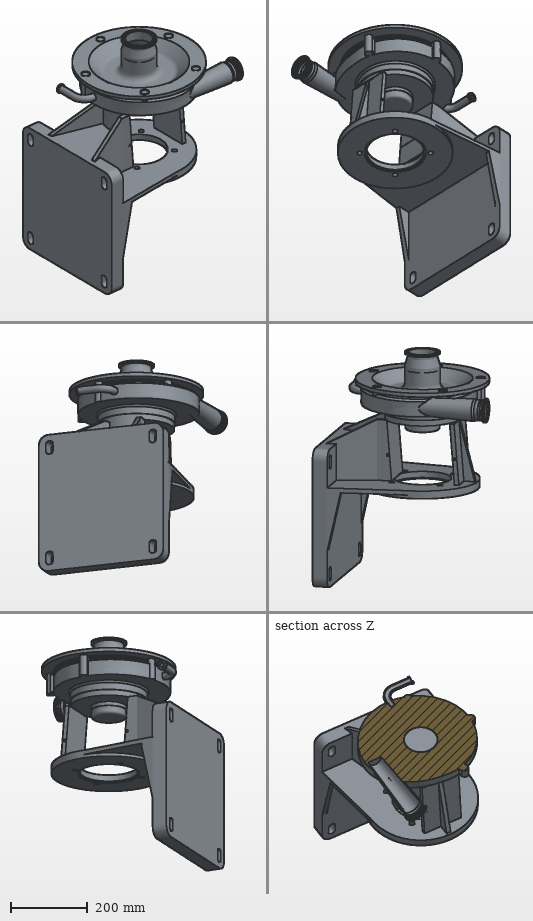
import cadquery as cq
import math


plate_width = 350.0
plate_height = 370.0
plate_thickness = 40.0
plate_corner_radius = 27.0
plate_front_y = -250.0
plate_back_y = plate_front_y + plate_thickness
slot_spacing_x = 290.0
slot_spacing_z = 300.0
slot_length = 36.0
slot_width = 20.0

table_top_z = 272.0
table_thickness = 12.0
disc_thickness = 21.0
disc_radius = 150.0
table_bore_radius = 75.0
register_radius = 80.0
register_depth = 4.0
table_hole_circle_radius = 92.5
table_hole_diameter = 14.0
table_hole_count = 4
table_hole_start_angle = 45.0
brace_reach = 35.0
brace_foot_z = 103.0
brace_inner_x = 160.0

leg_top_z = 434.5
leg_half_width = 55.5
leg_lean = 13.0
front_leg_inner_top_y = -81.5
front_leg_outer_y = -108.5
gusset_tip_y = -235.0
gusset_tip_half_width = 91.0
gusset_thickness = 12.0
rear_leg_inner_top_y = 88.5
rear_leg_thickness = 12.0
rear_rib_foot_y = 143.0
rear_rib_thickness = 12.0
cross_hole_diameter = 6.0
cross_hole_z = 341.0
front_cross_hole_y = -79.0
rear_cross_hole_y = 102.0

hub_radius = 99.0
hub_collar_radius = 101.0
hub_collar_bottom_z = 450.0
hub_collar_top_z = 468.5
hub_flare_radius = 105.0
stub_radius = 46.5
stub_tip_radius = 45.5
stub_step_z = 423.7
stub_bottom_z = 403.0
stub_fillet = 6.5

casing_bottom_z = 474.5
casing_shoulder_z = 515.0
casing_top_z = 521.0
casing_top_chamfer = casing_top_z - casing_shoulder_z
casing_bottom_chamfer_height = 4.0
casing_bottom_chamfer_width = 1.0
volute_start_radius = 141.5
volute_growth = 26.5
volute_start_angle = math.radians(90)
volute_sweep = math.radians(270)
volute_steps = 12
rim_radius = 141.0
rim_top_z = 525.7
spigot_radius = 144.5

flange_radius = 175.0
flange_top_z = 540.0
flange_thickness = 10.0
flange_bottom_z = flange_top_z - flange_thickness
dish_rim_radius = 131.5
dish_rim_chamfer = 2.0
dish_floor_z = 509.0
dish_floor_corner_radius = 97.4
dish_outer_fillet = 16.4
dish_inner_fillet = 19.5
post_count = 5
post_start_angle = 180.0
post_circle_radius = 152.0
post_radius = 11.0
post_lug_circle_radius = 146.0
post_lug_radius = 13.0
post_hole_diameter = 23.0
post_hole_depth = 2.5

inlet_radius = 46.5
inlet_neck_radius = 39.7
inlet_top_z = 610.5
inlet_lip_thickness = 3.5
inlet_lip_taper = 2.5
inlet_cone_top_z = 597.0
inlet_cone_bottom_z = 575.0
inlet_bore_radius = 36.0
inlet_flare_top_z = 583.5
inlet_flare_bottom_z = 564.0
inlet_chamber_radius = 43.5
inlet_bore_bottom_z = 497.0
inlet_seal_groove_radius = 41.5

seal_groove_width = 3.0
seal_groove_depth = 1.5

port_z = 497.0
outlet_x = 139.4
outlet_end_y = 211.0
outlet_lip_radius = 32.0
outlet_lip_thickness = 4.0
outlet_lip_taper = 2.0
outlet_neck_radius = 27.5
outlet_neck_end_y = 184.5
outlet_cone_start_y = 178.0
outlet_cone_radius = 29.9
outlet_root_radius = 21.5
outlet_wall = 2.5
outlet_seal_groove_radius = 28.0
outlet_band_radius = 26.9
outlet_band_end_y = 199.7
outlet_band_start_y = 194.0

drain_radius = 10.0
drain_bore_radius = 6.0
drain_y = -196.0
drain_end_x = -88.5
drain_lip_radius = 12.5
drain_lip_thickness = 4.5
drain_bend_start_x = -34.0
drain_bend_radius = 35.0
drain_root_y = -140.0


def cylinder(radius, bottom_z, top_z):
    return cq.Workplane("XY").workplane(offset=bottom_z).circle(radius).extrude(top_z - bottom_z)


def side_prism(points, x_min, x_max):
    """Prism along X from (y, z) points."""
    return cq.Workplane("YZ").workplane(offset=x_min).polyline(points).close().extrude(x_max - x_min)


def plan_prism(points, bottom_z, top_z):
    """Prism along Z from (x, y) points."""
    return cq.Workplane("XY").workplane(offset=bottom_z).polyline(points).close().extrude(top_z - bottom_z)


def revolved_about_z(points):
    """Body of revolution about Z from (radius, z) points."""
    return cq.Workplane("XZ").polyline(points).close().revolve(360, (0, 0, 0), (0, 1, 0))


def make_wall_plate():
    plate_middle_z = plate_height / 2
    plate = (
        cq.Workplane("XZ", origin=(0, plate_back_y, plate_middle_z))
        .rect(plate_width, plate_height)
        .extrude(plate_thickness)
        .edges("|Y")
        .fillet(plate_corner_radius)
    )
    slots = (
        cq.Workplane("XZ", origin=(0, plate_back_y, plate_middle_z))
        .rect(slot_spacing_x, slot_spacing_z, forConstruction=True)
        .vertices()
        .slot2D(slot_length, slot_width, 90)
        .extrude(plate_thickness)
    )
    return plate.cut(slots)


def table_outline_prism(bottom_z):
    """Half-round table outline widening to the wall plate, from bottom_z up to the table top."""
    half_plate = plate_width / 2
    return (
        cq.Workplane("XY")
        .workplane(offset=bottom_z)
        .moveTo(-half_plate, plate_back_y)
        .lineTo(-disc_radius, 0)
        .threePointArc((0, disc_radius), (disc_radius, 0))
        .lineTo(half_plate, plate_back_y)
        .close()
        .extrude(table_top_z - bottom_z)
    )


def make_table():
    disc_bottom_z = table_top_z - disc_thickness
    table = table_outline_prism(table_top_z - table_thickness)
    table = table.union(cylinder(disc_radius, disc_bottom_z, table_top_z))
    table = table.cut(cylinder(table_bore_radius, disc_bottom_z, table_top_z))
    table = table.cut(cylinder(register_radius, disc_bottom_z, disc_bottom_z + register_depth))
    holes = (
        cq.Workplane("XY")
        .workplane(offset=disc_bottom_z)
        .polarArray(table_hole_circle_radius, table_hole_start_angle, 360, table_hole_count)
        .circle(table_hole_diameter / 2)
        .extrude(disc_thickness)
    )
    return table.cut(holes)


def make_braces():
    """Triangular braces under the table, flush with both of its side edges."""
    half_plate = plate_width / 2
    table_bottom_z = table_top_z - table_thickness
    triangle = [
        (plate_back_y, table_bottom_z),
        (plate_back_y + brace_reach, table_bottom_z),
        (plate_back_y, brace_foot_z),
    ]
    wedge = side_prism(triangle, -half_plate, half_plate)
    gap = side_prism(triangle, -brace_inner_x, brace_inner_x)
    return wedge.intersect(table_outline_prism(brace_foot_z)).cut(gap)


def make_front_leg():
    """Leg with two splayed gussets; the pocket between them is floored level with the wall plate."""
    side_outline = [
        (front_leg_inner_top_y, leg_top_z),
        (front_leg_outer_y, leg_top_z),
        (gusset_tip_y, plate_height),
        (gusset_tip_y, table_top_z),
        (front_leg_inner_top_y + leg_lean, table_top_z),
    ]
    leg = side_prism(side_outline, -gusset_tip_half_width, gusset_tip_half_width)
    plan_outline = [
        (-leg_half_width, 0),
        (-leg_half_width, front_leg_outer_y),
        (-gusset_tip_half_width, gusset_tip_y),
        (gusset_tip_half_width, gusset_tip_y),
        (leg_half_width, front_leg_outer_y),
        (leg_half_width, 0),
    ]
    leg = leg.intersect(plan_prism(plan_outline, table_top_z, leg_top_z))

    splay = (gusset_tip_half_width - leg_half_width) / (front_leg_outer_y - gusset_tip_y)
    pocket_tip_half_width = gusset_tip_half_width - gusset_thickness
    pocket_axis_half_width = pocket_tip_half_width + splay * gusset_tip_y
    pocket_outline = [
        (-pocket_axis_half_width, 0),
        (-pocket_tip_half_width, gusset_tip_y),
        (pocket_tip_half_width, gusset_tip_y),
        (pocket_axis_half_width, 0),
    ]
    pocket = plan_prism(pocket_outline, plate_height, leg_top_z)
    return leg.cut(pocket.cut(cylinder(hub_radius, plate_height, leg_top_z)))


def make_rear_leg():
    """Leaning plate with one rib along the middle of its outer face."""
    inner_foot_y = rear_leg_inner_top_y + leg_lean
    outer_top_y = rear_leg_inner_top_y + rear_leg_thickness
    plate_outline = [
        (rear_leg_inner_top_y, leg_top_z),
        (outer_top_y, leg_top_z),
        (inner_foot_y + rear_leg_thickness, table_top_z),
        (inner_foot_y, table_top_z),
    ]
    rib_outline = [
        (rear_leg_inner_top_y, leg_top_z),
        (outer_top_y, leg_top_z),
        (rear_rib_foot_y, table_top_z),
        (inner_foot_y, table_top_z),
    ]
    leg = side_prism(plate_outline, -leg_half_width, leg_half_width)
    return leg.union(side_prism(rib_outline, -rear_rib_thickness / 2, rear_rib_thickness / 2))


def make_cross_holes():
    return (
        cq.Workplane("YZ")
        .workplane(offset=-leg_half_width)
        .pushPoints([(front_cross_hole_y, cross_hole_z), (rear_cross_hole_y, cross_hole_z)])
        .circle(cross_hole_diameter / 2)
        .extrude(2 * leg_half_width)
    )


def make_hub():
    hub = revolved_about_z(
        [
            (0, stub_bottom_z),
            (stub_tip_radius, stub_bottom_z),
            (stub_tip_radius, stub_step_z),
            (stub_radius, stub_step_z),
            (stub_radius, leg_top_z),
            (hub_radius, leg_top_z),
            (hub_radius, hub_collar_bottom_z),
            (hub_collar_radius, hub_collar_bottom_z),
            (hub_collar_radius, hub_collar_top_z),
            (hub_flare_radius, casing_bottom_z),
            (0, casing_bottom_z),
        ]
    )
    return hub.faces("<Z").edges().fillet(stub_fillet)


def volute_point(t):
    """Point on the volute spiral, with t from 0 at its smallest to 1 at its largest radius."""
    radius = volute_start_radius + volute_growth * t
    angle = volute_start_angle + volute_sweep * t
    return radius * math.cos(angle), radius * math.sin(angle)


def make_casing():
    spiral = [volute_point(i / volute_steps) for i in range(volute_steps + 1)]
    closing_radius = volute_start_radius + volute_growth / 2
    closing_point = (closing_radius * math.sqrt(0.5), closing_radius * math.sqrt(0.5))
    casing = (
        cq.Workplane("XY")
        .workplane(offset=casing_bottom_z)
        .spline([*spiral, closing_point], periodic=True)
        .close()
        .extrude(casing_top_z - casing_bottom_z)
        .faces(">Z")
        .chamfer(casing_top_chamfer)
        .faces("<Z")
        .chamfer(casing_bottom_chamfer_height, casing_bottom_chamfer_width)
    )
    casing = casing.union(cylinder(rim_radius, casing_top_z, rim_top_z))
    return casing.union(cylinder(spigot_radius, rim_top_z, flange_bottom_z))


def post_ring(circle_radius, radius, bottom_z, top_z):
    """Ring of vertical cylinders, one at each post."""
    return (
        cq.Workplane("XY")
        .workplane(offset=bottom_z)
        .polarArray(circle_radius, post_start_angle, 360, post_count)
        .circle(radius)
        .extrude(top_z - bottom_z)
    )


def make_posts():
    """Posts under the flange, each tied to the casing by a rounded lug."""
    posts = post_ring(post_circle_radius, post_radius, casing_bottom_z, flange_bottom_z)
    lug_bottom_z = casing_bottom_z + casing_bottom_chamfer_height
    return posts.union(post_ring(post_lug_circle_radius, post_lug_radius, lug_bottom_z, rim_top_z))


def make_post_holes():
    hole_floor_z = flange_top_z - post_hole_depth
    return post_ring(post_circle_radius, post_hole_diameter / 2, hole_floor_z, flange_top_z)


def make_dish():
    """Ring-shaped recess around the inlet pipe, with both floor corners rounded."""
    cone_top_radius = dish_rim_radius - dish_rim_chamfer
    dish = revolved_about_z(
        [
            (inlet_radius, dish_floor_z),
            (dish_floor_corner_radius, dish_floor_z),
            (cone_top_radius, flange_top_z - dish_rim_chamfer),
            (dish_rim_radius, flange_top_z),
            (inlet_radius, flange_top_z),
        ]
    )
    dish = dish.faces("<Z").edges(cq.selectors.RadiusNthSelector(0)).fillet(dish_inner_fillet)
    return dish.faces("<Z").edges(cq.selectors.RadiusNthSelector(-1)).fillet(dish_outer_fillet)


def make_inlet():
    return revolved_about_z(
        [
            (0, dish_floor_z),
            (inlet_radius, dish_floor_z),
            (inlet_radius, inlet_cone_bottom_z),
            (inlet_neck_radius, inlet_cone_top_z),
            (inlet_neck_radius, inlet_top_z - inlet_lip_thickness - inlet_lip_taper),
            (inlet_radius, inlet_top_z - inlet_lip_thickness),
            (inlet_radius, inlet_top_z),
            (0, inlet_top_z),
        ]
    )


def make_inlet_seal_groove():
    outer_radius = inlet_seal_groove_radius + seal_groove_width / 2
    inner_radius = outer_radius - seal_groove_width
    groove_floor_z = inlet_top_z - seal_groove_depth
    return revolved_about_z(
        [
            (inner_radius, groove_floor_z),
            (outer_radius, groove_floor_z),
            (outer_radius, inlet_top_z),
            (inner_radius, inlet_top_z),
        ]
    )


def make_inlet_bore():
    return revolved_about_z(
        [
            (0, inlet_bore_bottom_z),
            (inlet_chamber_radius, inlet_bore_bottom_z),
            (inlet_chamber_radius, inlet_flare_bottom_z),
            (inlet_bore_radius, inlet_flare_top_z),
            (inlet_bore_radius, inlet_top_z),
            (0, inlet_top_z),
        ]
    )


def revolved_about_outlet(points):
    """Body of revolution about the outlet axis from (radius, y) points."""
    return (
        cq.Workplane("XY", origin=(outlet_x, 0, port_z))
        .polyline(points)
        .close()
        .revolve(360, (0, 0, 0), (0, 1, 0))
    )


def make_outlet():
    lip_y = outlet_end_y - outlet_lip_thickness
    return revolved_about_outlet(
        [
            (0, 0),
            (outlet_root_radius, 0),
            (outlet_cone_radius, outlet_cone_start_y),
            (outlet_neck_radius, outlet_neck_end_y),
            (outlet_neck_radius, outlet_band_start_y),
            (outlet_band_radius, outlet_band_start_y),
            (outlet_band_radius, outlet_band_end_y),
            (outlet_neck_radius, outlet_band_end_y),
            (outlet_neck_radius, lip_y - outlet_lip_taper),
            (outlet_lip_radius, lip_y),
            (outlet_lip_radius, outlet_end_y),
            (0, outlet_end_y),
        ]
    )


def make_outlet_seal_groove():
    outer_radius = outlet_seal_groove_radius + seal_groove_width / 2
    inner_radius = outer_radius - seal_groove_width
    groove_floor_y = outlet_end_y - seal_groove_depth
    return revolved_about_outlet(
        [
            (inner_radius, groove_floor_y),
            (outer_radius, groove_floor_y),
            (outer_radius, outlet_end_y),
            (inner_radius, outlet_end_y),
        ]
    )


def make_outlet_bore():
    neck_bore_radius = outlet_neck_radius - outlet_wall
    return revolved_about_outlet(
        [
            (0, 0),
            (outlet_root_radius - outlet_wall, 0),
            (neck_bore_radius, outlet_cone_start_y),
            (neck_bore_radius, outlet_end_y),
            (0, outlet_end_y),
        ]
    )


def drain_run(radius):
    """Round bar along the drain path: straight, quarter bend, then straight toward the pump axis."""
    bend_end_x = drain_bend_start_x + drain_bend_radius
    bend_end_y = drain_y + drain_bend_radius
    bend_middle_offset = drain_bend_radius * math.sqrt(0.5)
    bend_middle = (drain_bend_start_x + bend_middle_offset, bend_end_y - bend_middle_offset)
    path = (
        cq.Workplane("XY", origin=(0, 0, port_z))
        .moveTo(drain_end_x, drain_y)
        .lineTo(drain_bend_start_x, drain_y)
        .threePointArc(bend_middle, (bend_end_x, bend_end_y))
        .lineTo(bend_end_x, drain_root_y)
    )
    return cq.Workplane("YZ", origin=(drain_end_x, drain_y, port_z)).circle(radius).sweep(path)


def make_drain():
    lip = (
        cq.Workplane("YZ", origin=(drain_end_x, drain_y, port_z))
        .circle(drain_lip_radius)
        .extrude(drain_lip_thickness)
    )
    return drain_run(drain_radius).union(lip)


def make_bracket():
    bracket = make_wall_plate().union(make_table()).union(make_braces())
    bracket = bracket.union(make_front_leg()).union(make_rear_leg())
    return bracket.cut(make_cross_holes())


def make_pump():
    pump = make_hub().union(make_casing()).union(make_posts())
    pump = pump.union(make_outlet()).union(make_drain())
    pump = pump.union(cylinder(flange_radius, flange_bottom_z, flange_top_z))
    pump = pump.cut(make_dish()).union(make_inlet())
    pump = pump.cut(make_post_holes())
    pump = pump.cut(make_inlet_bore()).cut(make_inlet_seal_groove())
    pump = pump.cut(make_outlet_bore()).cut(make_outlet_seal_groove())
    return pump.cut(drain_run(drain_bore_radius))


result = make_bracket().union(make_pump())